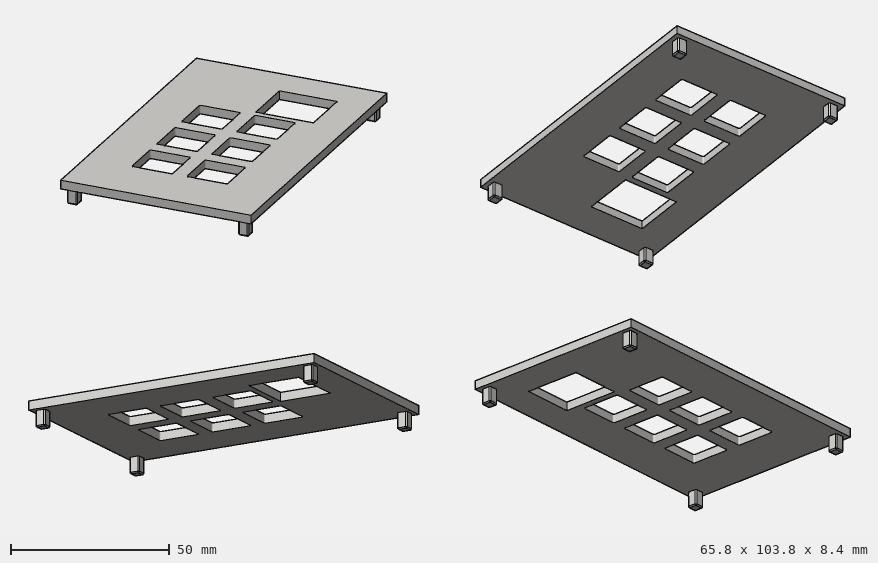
import cadquery as cq

plate_width = 65.8
plate_length = 103.8
plate_thickness = 3.0

key_size = 14.0
key_corner_radius = 0.5
key_pitch = 19.0
key_columns = 2
key_rows = 3
key_grid_x = -0.4
key_grid_y = -6.8

display_width = 19.9
display_length = 18.1
display_x = 11.3
display_y = 30.5

total_height = 8.4
post_height = total_height - plate_thickness
post_size = 3.5
post_edge_chamfer = 0.4
post_side_margin = 1.6
post_end_margin = 1.5
post_x = plate_width / 2 - post_side_margin - post_size / 2
post_y = plate_length / 2 - post_end_margin - post_size / 2


def make_block(width, length, height):
    """Block centred in X and Y that stands on Z = 0."""
    return cq.Workplane("XY").box(width, length, height, centered=(True, True, False))


def make_plate():
    """Flat plate with the display window and the grid of key windows cut through it."""
    plate = make_block(plate_width, plate_length, plate_thickness)

    display_window = make_block(display_width, display_length, plate_thickness)
    plate = plate.cut(display_window.translate((display_x, display_y, 0)))

    key_window = make_block(key_size, key_size, plate_thickness)
    key_window = key_window.edges("|Z").fillet(key_corner_radius)
    for column in range(key_columns):
        for row in range(key_rows):
            key_x = key_grid_x + (column - (key_columns - 1) / 2) * key_pitch
            key_y = key_grid_y + (row - (key_rows - 1) / 2) * key_pitch
            plate = plate.cut(key_window.translate((key_x, key_y, 0)))
    return plate.solids()


def make_post(x, y):
    """Square post below the plate, chamfered on its upright and foot edges."""
    post = make_block(post_size, post_size, post_height)
    post = post.edges("|Z or <Z").chamfer(post_edge_chamfer)
    return post.translate((x, y, -post_height)).solids()


plate = make_plate()
posts = [make_post(side * post_x, end * post_y) for side in (-1, 1) for end in (-1, 1)]

result = cq.Compound.makeCompound([plate.val(), *[post.val() for post in posts]])